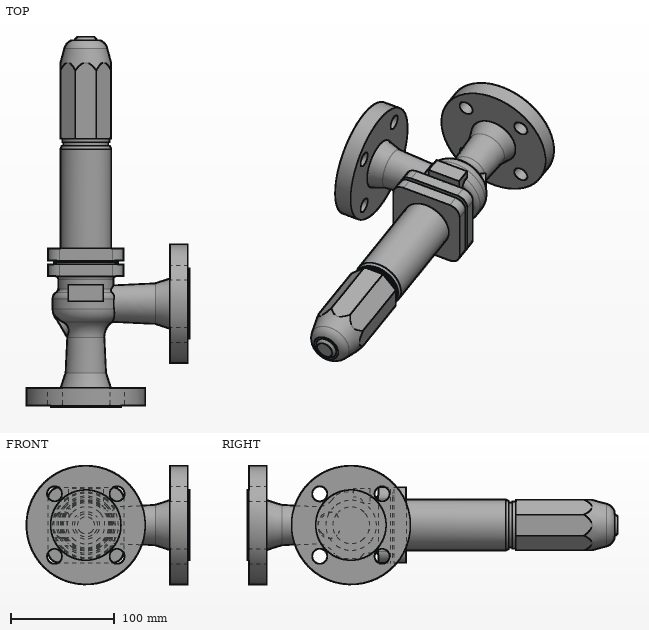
import cadquery as cq
import math


overall_length = 357.7

face_reach = 100.0
flange_diameter = 115.0
flange_thickness = 17.0
raised_face_diameter = 68.0
raised_face_height = 1.8
bolt_hole_diameter = 14.3
bolt_circle_diameter = 85.0
spout_root_radius = 16.5
hub_start = 67.0
hub_start_radius = 19.5
hub_end_radius = 24.5
fillet_end = 32.2
taper_slope = (hub_start_radius - spout_root_radius) / hub_start
fillet_end_radius = spout_root_radius + taper_slope * fillet_end

bulb_radius = 32.2
bulb_bottom = -5.0
bulb_top = 4.5
bulb_lower_round = 15.5
shoulder_split = 0.65
neck_radius = 27.0
neck_bottom = 14.3
neck_fillet = 3.0

square_side = 73.0
square_corner_radius = 11.0
lower_square_bottom = 26.5
lower_square_top = 38.0
upper_square_bottom = 41.5
upper_square_top = 53.3
joint_height = 39.7
joint_lower_radius = 31.0
joint_upper_radius = 28.3

tube_radius = 24.7
tube_shoulder = 149.0
tube_top = 152.5
tube_top_radius = 23.3
thread_radius = 21.8
collar_bottom = 155.5
collar_radius = 23.0

cap_bottom = 159.0
cap_flats = 49.0
cap_sides = 8
taper_angle = 15.0
dome_start = 246.5
dome_start_radius = 20.7
dome_top = 254.5
dome_flat_radius = 13.2
tip_top = overall_length - face_reach
tip_base_radius = 11.0
tip_radius = 8.2

plate_width = 33.5
plate_bottom = 2.0
plate_top = 18.2
plate_height = 35.5

boss_diameter = 25.5
boss_tilt = 30.0
boss_face_x = -24.7
boss_face_y = -21.0
boss_length = 21.5


def revolve_about_y(profile):
    return profile.close().revolve(360, (0, 0, 0), (0, 1, 0))


def spout():
    """Tapered pipe with weld-neck flange, pointing to -Y."""
    raised_base = face_reach - raised_face_height
    flange_back = raised_base - flange_thickness
    profile = (
        cq.Workplane("XY")
        .lineTo(spout_root_radius, 0)
        .lineTo(hub_start_radius, -hub_start)
        .lineTo(hub_end_radius, -flange_back)
        .lineTo(flange_diameter / 2, -flange_back)
        .lineTo(flange_diameter / 2, -raised_base)
        .lineTo(raised_face_diameter / 2, -raised_base)
        .lineTo(raised_face_diameter / 2, -face_reach)
        .lineTo(0, -face_reach)
    )
    hole_pitch = bolt_circle_diameter / math.sqrt(2)
    holes = (
        cq.Workplane("XZ", origin=(0, -flange_back, 0))
        .rect(hole_pitch, hole_pitch, forConstruction=True)
        .vertices()
        .circle(bolt_hole_diameter / 2)
        .extrude(face_reach - flange_back)
    )
    return revolve_about_y(profile).cut(holes)


def body():
    """Bulb with a filleted run-out to the inlet and an S-shaped shoulder up to the neck."""
    round_x = bulb_radius - bulb_lower_round
    offset = fillet_end_radius - round_x
    drop = fillet_end + bulb_bottom
    fillet = (offset**2 + drop**2 - bulb_lower_round**2) / (2 * (bulb_lower_round - offset))
    lower_angle = math.asin(drop / (bulb_lower_round + fillet))
    lower_joint = (
        round_x + bulb_lower_round * math.cos(lower_angle),
        bulb_bottom - bulb_lower_round * math.sin(lower_angle),
    )
    shoulder_height = neck_bottom - bulb_top
    upper_joint = (
        bulb_radius - shoulder_split * (bulb_radius - neck_radius),
        bulb_top + shoulder_split * shoulder_height,
    )
    profile = (
        cq.Workplane("XY")
        .moveTo(0, -fillet_end)
        .lineTo(fillet_end_radius, -fillet_end)
        .radiusArc(lower_joint, fillet)
        .radiusArc((bulb_radius, bulb_bottom), -bulb_lower_round)
        .lineTo(bulb_radius, bulb_top)
        .tangentArcPoint(upper_joint, relative=False)
        .tangentArcPoint((neck_radius, neck_bottom), relative=False)
        .lineTo(neck_radius, lower_square_bottom - neck_fillet)
        .radiusArc((neck_radius + neck_fillet, lower_square_bottom), neck_fillet)
        .lineTo(0, lower_square_bottom)
    )
    return revolve_about_y(profile)


def square_flange(bottom, top):
    return (
        cq.Workplane("XZ", origin=(0, top, 0))
        .rect(square_side, square_side)
        .extrude(top - bottom)
        .edges("|Y")
        .fillet(square_corner_radius)
    )


def bonnet():
    """Everything round on the axis between the lower square flange and the cap."""
    profile = (
        cq.Workplane("XY")
        .moveTo(0, lower_square_top)
        .lineTo(joint_lower_radius, lower_square_top)
        .lineTo(joint_lower_radius, joint_height)
        .lineTo(joint_upper_radius, joint_height)
        .lineTo(joint_upper_radius, upper_square_bottom)
        .lineTo(tube_radius, upper_square_bottom)
        .lineTo(tube_radius, tube_shoulder)
        .lineTo(tube_top_radius, tube_top)
        .lineTo(thread_radius, tube_top)
        .lineTo(thread_radius, collar_bottom)
        .lineTo(collar_radius, collar_bottom)
        .lineTo(collar_radius, cap_bottom)
        .lineTo(0, cap_bottom)
    )
    return revolve_about_y(profile)


def cap():
    """Octagonal bar turned down to a taper, dome and tip."""
    half_side_angle = math.pi / cap_sides
    corner_diameter = cap_flats / math.cos(half_side_angle)
    bar = (
        cq.Workplane("XZ", origin=(0, cap_bottom, 0))
        .polygon(cap_sides, corner_diameter)
        .extrude(-(tip_top - cap_bottom))
        .rotate((0, 0, 0), (0, 1, 0), math.degrees(half_side_angle))
    )
    turned_radius = corner_diameter
    taper_length = (turned_radius - dome_start_radius) / math.tan(math.radians(taper_angle))
    turned = revolve_about_y(
        cq.Workplane("XY")
        .moveTo(0, cap_bottom)
        .lineTo(turned_radius, cap_bottom)
        .lineTo(turned_radius, dome_start - taper_length)
        .lineTo(dome_start_radius, dome_start)
        .tangentArcPoint((dome_flat_radius, dome_top), relative=False)
        .lineTo(tip_base_radius, dome_top)
        .lineTo(tip_radius, tip_top)
        .lineTo(0, tip_top)
    )
    return bar.intersect(turned)


def name_plate():
    return (
        cq.Workplane("XY", origin=(0, plate_bottom, 0))
        .box(plate_width, plate_top - plate_bottom, plate_height, centered=(True, False, False))
    )


def side_boss():
    tilt = math.radians(boss_tilt)
    outward = cq.Vector(-math.cos(tilt), -math.sin(tilt), 0)
    face = cq.Plane(origin=(boss_face_x, boss_face_y, 0), xDir=(0, 0, 1), normal=outward)
    return cq.Workplane(face).circle(boss_diameter / 2).extrude(-boss_length)


inlet = spout()
outlet = inlet.rotate((0, 0, 0), (0, 0, 1), 90)

result = (
    body()
    .union(inlet)
    .union(outlet)
    .union(side_boss())
    .union(name_plate())
    .union(square_flange(lower_square_bottom, lower_square_top))
    .union(square_flange(upper_square_bottom, upper_square_top))
    .union(bonnet())
    .union(cap())
)